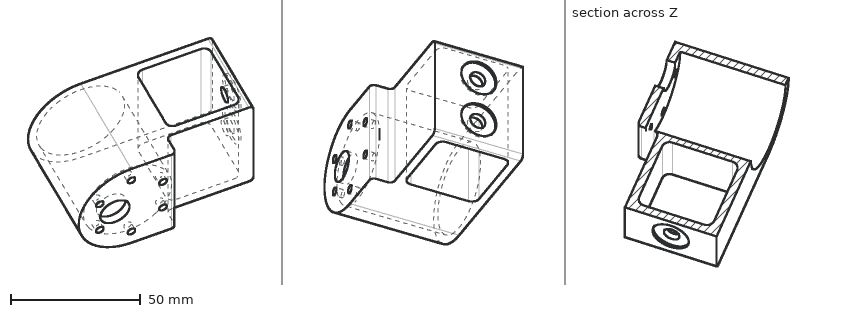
import cadquery as cq

barrel_length = 47.0
barrel_radius = 22.4
motor_bore_diameter = 37.4
end_wall = 3.6

screw_count = 6
screw_diameter = 3.2
screw_circle_diameter = 31.0
shaft_hole_diameter = 12.4
shaft_offset = 7.0

socket_size = 30.8
socket_wall = 3.6
socket_corner_radius = 3.0
block_width = socket_size + 2 * socket_wall
block_back = 56.0
block_edge_radius = 2.0

step_y = 19.0
step_radius = 2.0

clamp_hole_diameter = 6.4
clamp_hole_height = 10.0
spotface_diameter = 15.0
spotface_depth = 1.0


def side_profile(length):
    """Flat-sided body with a round front, extruded along X."""
    return (
        cq.Workplane("YZ")
        .moveTo(block_back, -barrel_radius)
        .lineTo(0, -barrel_radius)
        .threePointArc((-barrel_radius, 0), (0, barrel_radius))
        .lineTo(block_back, barrel_radius)
        .close()
        .extrude(length)
        .edges("|X and >Y")
        .fillet(block_edge_radius)
    )


def step_cutter():
    """Corner removed beside the socket block."""
    width = barrel_length - block_width
    length = block_back - step_y
    height = 2 * barrel_radius
    cutter = cq.Workplane("XY").box(width, length, height, centered=(False, False, True))
    return cutter.translate((block_width, step_y, 0))


def round_step_corners(body):
    """Round the inner and outer vertical corners of the step."""
    corners = ((block_width, step_y), (barrel_length, step_y))
    for x, y in corners:
        body = body.edges(cq.selectors.NearestToPointSelector((x, y, 0))).fillet(step_radius)
    return body


def motor_bore():
    """Blind bore that leaves the end wall in place."""
    return cq.Workplane("YZ").circle(motor_bore_diameter / 2).extrude(barrel_length - end_wall)


def motor_face_holes():
    """Ring of screw holes and the offset shaft hole."""
    screws = (
        cq.Workplane("YZ")
        .polarArray(screw_circle_diameter / 2, 90, 360, screw_count)
        .circle(screw_diameter / 2)
        .extrude(barrel_length)
    )
    shaft = (
        cq.Workplane("YZ")
        .center(-shaft_offset, 0)
        .circle(shaft_hole_diameter / 2)
        .extrude(barrel_length)
    )
    return screws.union(shaft)


def socket():
    """Square opening through the full height of the block."""
    return (
        cq.Workplane("XY")
        .box(socket_size, socket_size, 2 * barrel_radius)
        .edges("|Z")
        .fillet(socket_corner_radius)
        .translate((block_width / 2, block_back - socket_wall - socket_size / 2, 0))
    )


def back_wall_cylinders(diameter, depth):
    """Pair of cylinders running inward from the back face, mirrored about mid-height."""
    centers = [(block_width / 2, side * clamp_hole_height) for side in (-1, 1)]
    return (
        cq.Workplane("XZ", origin=(0, block_back, 0))
        .pushPoints(centers)
        .circle(diameter / 2)
        .extrude(depth)
    )


def clamp_holes():
    """Holes into the socket, each with a shallow spotface on the back face."""
    holes = back_wall_cylinders(clamp_hole_diameter, socket_wall + socket_size / 2)
    spotfaces = back_wall_cylinders(spotface_diameter, spotface_depth)
    return holes.union(spotfaces)


body = side_profile(barrel_length).cut(step_cutter())
body = round_step_corners(body)
body = body.cut(motor_bore())
body = body.cut(motor_face_holes())
body = body.cut(socket())
result = body.cut(clamp_holes())